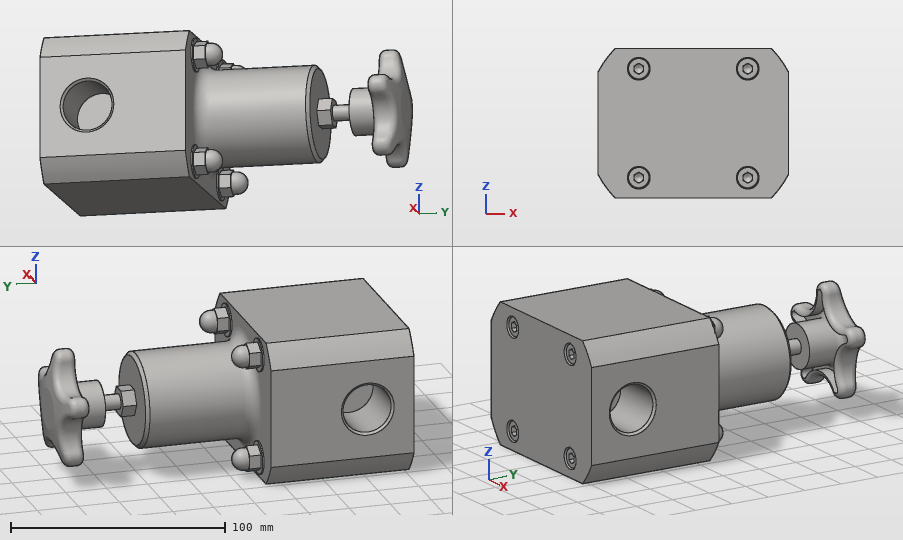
import cadquery as cq
import math


BLOCK_WIDTH = 89.0
BLOCK_SIDE = 69.8
BLOCK_CORNER_RADIUS = 50.5

PORT_DIAMETER = 23.5
PORT_MOUTH_DIAMETER = 25.7
PORT_DEPTH = 29.7
PORT_Y = 22.6

BOLT_OFFSET = 25.4
COUNTERBORE_DIAMETER = 10.5
SCREW_HEAD_DIAMETER = 9.5
SCREW_HEAD_RECESS = 0.7
SCREW_HEAD_ROUND = 0.5
COUNTERBORE_DEPTH = 6.0
SOCKET_FLATS = 4.5
SOCKET_DEPTH = 3.0
SOCKET_TIP_DEPTH = 1.3
WASHER_DIAMETER = 15.8
WASHER_THICKNESS = 0.7
NUT_FLATS = 11.0
NUT_HEIGHT = 5.6
CAP_DIAMETER = 10.5
CAP_COLLAR = 1.7

HOUSING_DIAMETER = 45.7
HOUSING_END_Y = 124.0
HOUSING_CHAMFER = 1.7
HOUSING_FILLET = 6.3

STEM_DIAMETER = 7.5
LOCK_NUT_FLATS = 12.7
LOCK_NUT_HEIGHT = 6.6

HUB_DIAMETER = 22.1
HUB_START_Y = 140.3
KNOB_BOTTOM_Y = 152.6
KNOB_TOP_Y = 165.0
LOBE_COUNT = 5
LOBE_TIP_DISTANCE = 28.7
LOBE_RADIUS = 5.0
DOME_RADIUS = 95.7
TOP_FLAT_DIAMETER = 19.8
KNOB_BOTTOM_ROUND = 3.1
KNOB_TOP_ROUND = 3.0
CAVITY_DEPTH = 5.8
RIM_WIDTH = 3.0
HUB_FILLET = 3.0

CORNERS_TO_Z = 30


def plane_at(y):
    """Work plane facing +Y at the given height, with local X along X and local Y along -Z."""
    return cq.Workplane(cq.Plane(origin=(0, y, 0), xDir=(1, 0, 0), normal=(0, 1, 0)))


def cylinder(diameter, start_y, end_y):
    return plane_at(start_y).circle(diameter / 2).extrude(end_y - start_y)


def hexagon(flats, start_y, end_y, turn=0):
    """Hexagonal prism along Y, with two corners along X before it is turned."""
    corners = flats / math.cos(math.pi / 6)
    prism = plane_at(start_y).polygon(6, corners).extrude(end_y - start_y)
    return prism.rotate((0, 0, 0), (0, 1, 0), turn)


def at_bolts(body):
    """Four copies of a body on the main axis, one at each bolt position."""
    copies = cq.Workplane()
    for x in (-BOLT_OFFSET, BOLT_OFFSET):
        for z in (-BOLT_OFFSET, BOLT_OFFSET):
            copies = copies.add(body.translate((x, 0, z)))
    return copies.combine()


def make_block():
    block = plane_at(0).rect(BLOCK_WIDTH, BLOCK_SIDE).extrude(BLOCK_SIDE)
    return block.intersect(cylinder(2 * BLOCK_CORNER_RADIUS, 0, BLOCK_SIDE))


def make_port():
    """Blind bore with a 45 degree mouth, entering from the -X side."""
    radius = PORT_DIAMETER / 2
    mouth_radius = PORT_MOUTH_DIAMETER / 2
    mouth_depth = mouth_radius - radius
    face = cq.Plane(origin=(-BLOCK_WIDTH / 2, PORT_Y, 0), xDir=(0, 1, 0), normal=(1, 0, 0))
    bore = cq.Workplane(face).circle(radius).extrude(PORT_DEPTH)
    mouth = cq.Workplane(face).circle(mouth_radius).workplane(offset=mouth_depth).circle(radius).loft()
    return bore.union(mouth)


def make_screw_recess():
    """Ring-shaped gap around a screw head, plus the hexagon socket with its conical bottom."""
    gap = cylinder(COUNTERBORE_DIAMETER, 0, COUNTERBORE_DEPTH)
    head = cylinder(SCREW_HEAD_DIAMETER, SCREW_HEAD_RECESS, COUNTERBORE_DEPTH)
    head = head.faces("<Y").edges().fillet(SCREW_HEAD_ROUND)
    gap = gap.cut(head)
    socket_end = SCREW_HEAD_RECESS + SOCKET_DEPTH
    socket = hexagon(SOCKET_FLATS, 0, socket_end, CORNERS_TO_Z)
    cone = cq.Solid.makeCone(
        SOCKET_FLATS / 2, 0, SOCKET_TIP_DEPTH, cq.Vector(0, socket_end, 0), cq.Vector(0, 1, 0)
    )
    return gap.union(socket).union(cone)


def make_cap_nut():
    nut_start = BLOCK_SIDE + WASHER_THICKNESS
    collar_start = nut_start + NUT_HEIGHT
    dome_start = collar_start + CAP_COLLAR
    washer = cylinder(WASHER_DIAMETER, BLOCK_SIDE, nut_start)
    nut = hexagon(NUT_FLATS, nut_start, collar_start, CORNERS_TO_Z)
    collar = cylinder(CAP_DIAMETER, collar_start, dome_start)
    dome = cq.Workplane().sphere(CAP_DIAMETER / 2).translate((0, dome_start, 0))
    return washer.union(nut).union(collar).union(dome)


def make_housing():
    """Turned body with a chamfered end and a concave flare at the block."""
    radius = HOUSING_DIAMETER / 2
    flare_end = BLOCK_SIDE + HOUSING_FILLET
    flare_radius = radius + HOUSING_FILLET
    middle = HOUSING_FILLET * (1 - math.sqrt(0.5))
    profile = (
        cq.Workplane()
        .moveTo(0, BLOCK_SIDE)
        .lineTo(flare_radius, BLOCK_SIDE)
        .threePointArc((radius + middle, BLOCK_SIDE + middle), (radius, flare_end))
        .lineTo(radius, HOUSING_END_Y - HOUSING_CHAMFER)
        .lineTo(radius - HOUSING_CHAMFER, HOUSING_END_Y)
        .lineTo(0, HOUSING_END_Y)
        .close()
    )
    return profile.revolve(360, (0, 0, 0), (0, 1, 0))


def make_star(start_y, end_y, inset=0):
    """Star prism: round lobe tips joined by tangent concave arcs; one lobe points to +Z."""
    lobe_radius = LOBE_RADIUS - inset
    lobe_distance = LOBE_TIP_DISTANCE - LOBE_RADIUS
    half_step = math.pi / LOBE_COUNT
    valley_distance = lobe_distance / math.cos(half_step)
    valley_radius = lobe_distance * math.tan(half_step) - lobe_radius

    def polar(radius, angle):
        return (radius * math.cos(angle), radius * math.sin(angle))

    lobe_edge = math.hypot(lobe_distance, lobe_radius)
    edge_angle = math.atan2(lobe_radius, lobe_distance)
    first = -math.pi / 2
    star = plane_at(start_y).moveTo(*polar(lobe_edge, first - edge_angle))
    for index in range(LOBE_COUNT):
        lobe = first + 2 * index * half_step
        next_lobe = lobe + 2 * half_step
        star = star.threePointArc(
            polar(lobe_distance + lobe_radius, lobe),
            polar(lobe_edge, lobe + edge_angle),
        )
        star = star.threePointArc(
            polar(valley_distance - valley_radius, lobe + half_step),
            polar(lobe_edge, next_lobe - edge_angle),
        )
    return star.close().extrude(end_y - start_y)


def make_hub_flare(roof_y):
    """Concave ring that blends the hub into the roof of the knob cavity."""
    hub_radius = HUB_DIAMETER / 2
    middle = HUB_FILLET * (1 - math.sqrt(0.5))
    profile = (
        cq.Workplane()
        .moveTo(0, roof_y - HUB_FILLET)
        .lineTo(hub_radius, roof_y - HUB_FILLET)
        .threePointArc((hub_radius + middle, roof_y - middle), (hub_radius + HUB_FILLET, roof_y))
        .lineTo(0, roof_y)
        .close()
    )
    return profile.revolve(360, (0, 0, 0), (0, 1, 0))


def make_knob():
    """Domed star with a flat top, hollow underneath, on a hub that reaches its inner roof."""
    dome_centre_y = KNOB_TOP_Y - math.sqrt(DOME_RADIUS**2 - (TOP_FLAT_DIAMETER / 2) ** 2)
    above_dome_y = dome_centre_y + DOME_RADIUS + KNOB_TOP_ROUND
    dome = cq.Workplane().sphere(DOME_RADIUS).translate((0, dome_centre_y, 0))
    star = make_star(KNOB_BOTTOM_Y, above_dome_y).intersect(dome)
    star = star.faces(">Y").edges().fillet(KNOB_TOP_ROUND)
    star = star.faces("<Y").edges().fillet(KNOB_BOTTOM_ROUND)
    star = star.cut(cylinder(2 * LOBE_TIP_DISTANCE, KNOB_TOP_Y, above_dome_y))
    roof_y = KNOB_BOTTOM_Y + CAVITY_DEPTH
    cavity = make_star(KNOB_BOTTOM_Y, roof_y, RIM_WIDTH)
    hub = cylinder(HUB_DIAMETER, HUB_START_Y, roof_y)
    return star.cut(cavity).union(hub).union(make_hub_flare(roof_y))


lock_nut = hexagon(LOCK_NUT_FLATS, HOUSING_END_Y, HOUSING_END_Y + LOCK_NUT_HEIGHT)
stem = cylinder(STEM_DIAMETER, HOUSING_END_Y, HUB_START_Y)
left_port = make_port()

result = (
    make_block()
    .cut(left_port)
    .cut(left_port.mirror("YZ"))
    .cut(at_bolts(make_screw_recess()))
    .union(make_housing())
    .union(at_bolts(make_cap_nut()))
    .union(lock_nut)
    .union(stem)
    .union(make_knob())
)